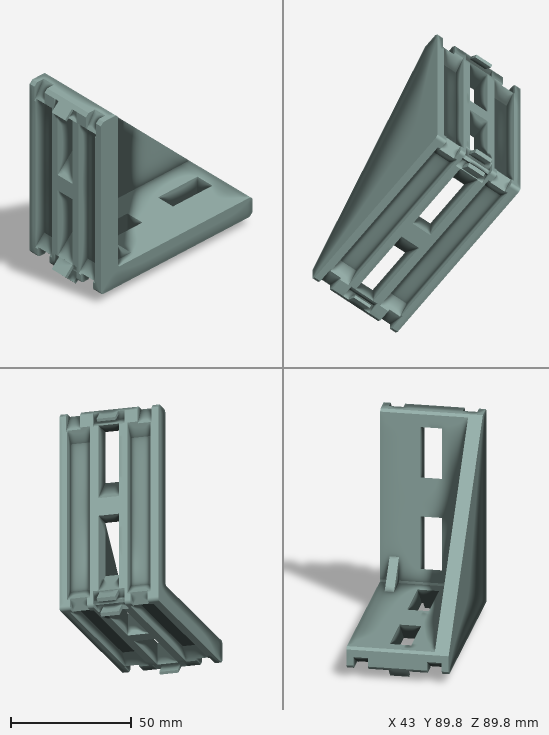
import cadquery as cq


width = 43.0
half_width = width / 2
overall_length = 89.8
leg_length = 86.0
toe_flat = 8.5
toe_chamfer = 1.5
heel_radius = 1.5
cheek_thickness = 6.0
leg_thickness = 9.6
inner_corner_chamfer = 0.8

rib_width = 3.95
rib_center_x = 15.5
rib_leg = 11.3

groove_center_x = 13.1
groove_width = 10.0
groove_depth = 5.1
groove_start = 4.2
groove_end = 78.95

toe_notch_center_x = 15.5
toe_notch_width = 6.1
toe_notch_depth = 5.3
toe_notch_length = 8.6
heel_notch_width = 7.4
heel_notch_leg = 5.3

slot_width = 9.1
slot_starts_and_ends = [(6.65, 39.5, 39.5), (47.25, 78.9, 79.2)]

pocket_width = 13.6
tab_width = 8.1
toe_pocket_bottom = 78.9
toe_pocket_top = leg_length - toe_chamfer
heel_pocket_leg = 6.8
fin_leg = 4.4
fin_offset = 1.2
tab_reach = overall_length - leg_length
toe_tab_offset = toe_pocket_top
toe_tab_drop = 1.8
heel_tab_offset = 6.1
heel_tab_drop = 2.4


def prism(outline, center_x, size_x):
    """Extrude a (Y, Z) outline along X."""
    plane = cq.Workplane("YZ").workplane(offset=center_x - size_x / 2)
    return plane.polyline(outline).close().extrude(size_x)


def on_both_legs(outline, center_x, size_x):
    """Prism on the leg along Z together with its twin on the leg along Y."""
    swapped = [(z, y) for y, z in outline]
    return prism(outline, center_x, size_x).union(prism(swapped, center_x, size_x))


def diagonal_point(total, offset):
    """Point where Y + Z = total meets Z - Y = offset."""
    return ((total - offset) / 2, (total + offset) / 2)


def diagonal_bar(inner_total, outer_total, high_offset, low_offset):
    """Rectangle turned 45 degrees, bounded by Y + Z and Z - Y."""
    return [
        diagonal_point(inner_total, high_offset),
        diagonal_point(outer_total, high_offset),
        diagonal_point(outer_total, low_offset),
        diagonal_point(inner_total, low_offset),
    ]


def make_body():
    outline = [
        (0, 0),
        (leg_length - toe_chamfer, 0),
        (leg_length, toe_chamfer),
        (leg_length, toe_flat),
        (toe_flat, leg_length),
        (toe_chamfer, leg_length),
        (0, leg_length - toe_chamfer),
    ]
    body = prism(outline, 0, width)
    body = body.edges(cq.selectors.NearestToPointSelector((0, 0, 0))).fillet(heel_radius)
    chamfer_end = leg_thickness + inner_corner_chamfer
    cavity = [
        (chamfer_end, leg_thickness),
        (leg_length, leg_thickness),
        (leg_length, leg_length),
        (leg_thickness, leg_length),
        (leg_thickness, chamfer_end),
    ]
    return body.cut(prism(cavity, cheek_thickness, width))


def make_rib():
    rib_end = leg_thickness + rib_leg
    outline = [
        (leg_thickness, leg_thickness),
        (rib_end, leg_thickness),
        (leg_thickness, rib_end),
    ]
    return prism(outline, rib_center_x, rib_width)


def cut_grooves(body):
    groove = [
        (0, groove_start),
        (groove_depth, groove_start + groove_depth),
        (groove_depth, groove_end - groove_depth),
        (0, groove_end),
    ]
    toe_notch = [
        (0, leg_length),
        (toe_notch_depth, leg_length),
        (0, leg_length - toe_notch_length),
    ]
    heel_notch = [(0, 0), (heel_notch_leg, 0), (0, heel_notch_leg)]
    for side in (-1, 1):
        body = body.cut(on_both_legs(groove, side * groove_center_x, groove_width))
        body = body.cut(on_both_legs(toe_notch, side * toe_notch_center_x, toe_notch_width))
        body = body.cut(prism(heel_notch, side * groove_center_x, heel_notch_width))
    return body


def cut_slots(body):
    for start, outer_end, inner_end in slot_starts_and_ends:
        slot = [
            (0, start),
            (leg_thickness, start + leg_thickness),
            (leg_thickness, inner_end),
            (0, outer_end),
        ]
        body = body.cut(on_both_legs(slot, 0, slot_width))
    return body


def cut_pockets(body):
    toe_pocket = [
        (0, toe_pocket_bottom),
        diagonal_point(toe_pocket_top, toe_pocket_bottom),
        (0, toe_pocket_top),
    ]
    heel_pocket = [(0, 0), (heel_pocket_leg, 0), (0, heel_pocket_leg)]
    fin = diagonal_bar(heel_pocket_leg, fin_leg, fin_offset, -fin_offset)
    body = body.cut(on_both_legs(toe_pocket, 0, pocket_width))
    body = body.cut(prism(heel_pocket, 0, pocket_width))
    return body.union(prism(fin, 0, pocket_width))


def add_tabs(body):
    tabs = [
        (toe_pocket_top, toe_tab_offset, toe_tab_drop),
        (heel_pocket_leg, heel_tab_offset, heel_tab_drop),
    ]
    for root_total, offset, drop in tabs:
        tip_total = offset - 2 * tab_reach
        tab = diagonal_bar(root_total, tip_total, offset, offset - drop)
        body = body.union(on_both_legs(tab, 0, tab_width))
    return body


body = make_body().union(make_rib())
body = cut_grooves(body)
body = cut_slots(body)
body = cut_pockets(body)
result = add_tabs(body)